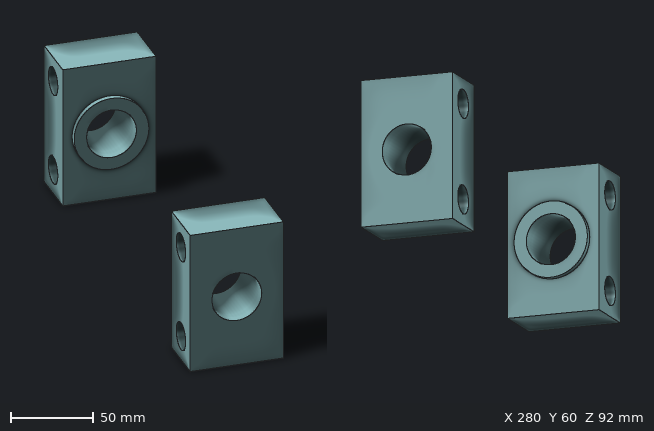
import cadquery as cq

span = 280.0
block_depth = 60.0
block_height = 92.0

block_width = 36.0
boss_diameter = 48.0
boss_length = 4.0
bore_diameter = 32.0

bolt_diameter = 18.0
bolt_spacing = 60.0
bolt_inset = 17.5


def bearing_block(side):
    """One block with its boss facing the middle; side is -1 for left, +1 for right."""
    outer_x = side * span / 2
    inner_x = outer_x - side * block_width
    bolt_x = outer_x - side * bolt_inset

    body = cq.Workplane("XY").box(block_width, block_depth, block_height)
    body = body.translate(((outer_x + inner_x) / 2, 0, 0))

    boss = cq.Workplane("YZ", origin=(inner_x, 0, 0)).circle(boss_diameter / 2).extrude(-side * boss_length)
    body = body.union(boss)

    bore_length = block_width + boss_length
    bore = cq.Workplane("YZ", origin=(outer_x, 0, 0)).circle(bore_diameter / 2).extrude(-side * bore_length)
    body = body.cut(bore)

    bolts = (
        cq.Workplane("XZ")
        .pushPoints([(bolt_x, -bolt_spacing / 2), (bolt_x, bolt_spacing / 2)])
        .circle(bolt_diameter / 2)
        .extrude(block_depth / 2, both=True)
    )
    return body.cut(bolts)


blocks = [bearing_block(side) for side in (-1, 1)]

result = cq.Compound.makeCompound([block.solids().val() for block in blocks])